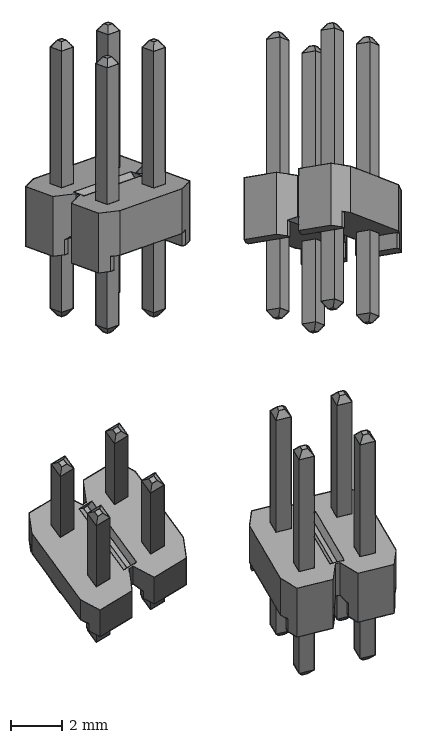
import cadquery as cq

pitch = 2.54

body_width = 4.83
body_depth = 5.0
body_height = 2.5
module_flat = 1.51
corner_depth = 0.8
waist_gap = 0.19
waist_depth = 0.85

foot_height = 0.63
foot_width = 1.94
foot_depth = 0.635

groove_width = pitch - foot_width
groove_floor = waist_gap
groove_depth = (groove_width - groove_floor) / 2
top_groove_length = 3.14

pin_size = 0.64
pin_above_body = 6.0
pin_below_body = 3.0
tip_height = 0.29
tip_flat = 0.24

pin_positions = (-pitch / 2, pitch / 2)


def make_block():
    """Octagonal block with a V at the front and rear between the columns."""
    half_width = body_width / 2
    half_depth = body_depth / 2
    flat_inner = (pitch - module_flat) / 2
    flat_outer = (pitch + module_flat) / 2
    quarter = [
        (half_width, half_depth - corner_depth),
        (flat_outer, half_depth),
        (flat_inner, half_depth),
        (waist_gap / 2, half_depth - waist_depth),
    ]
    rear = quarter + [(-x, y) for x, y in reversed(quarter)]
    front = [(x, -y) for x, y in reversed(rear)]
    return cq.Workplane("XY").polyline(rear + front).close().extrude(body_height)


def make_foot_zone():
    """Four boxes bounding the feet below the main block."""
    foot_y = (body_depth - foot_depth) / 2
    centres = [(x, y) for x in pin_positions for y in (-foot_y, foot_y)]
    return cq.Workplane("XY").pushPoints(centres).rect(foot_width, foot_depth).extrude(foot_height)


def make_groove(opening_z, direction, length):
    """Tapered prism along Y, narrowing from opening_z in the given Z direction."""
    floor_z = opening_z + direction * groove_depth
    profile = [
        (-groove_width / 2, opening_z),
        (groove_width / 2, opening_z),
        (groove_floor / 2, floor_z),
        (-groove_floor / 2, floor_z),
    ]
    return cq.Workplane("XZ").polyline(profile).close().extrude(length / 2, both=True)


def make_body():
    """Insulator with feet and the two break grooves."""
    block = make_block()
    underside = cq.Workplane("XY").rect(body_width, body_depth).extrude(foot_height)
    underside = underside.cut(make_foot_zone())
    body = block.cut(underside)
    body = body.cut(make_groove(foot_height, 1, body_depth))
    return body.cut(make_groove(body_height, -1, top_groove_length))


def make_tip(base_z, direction):
    """Truncated pyramid for a pin end, pointing up (1) or down (-1)."""
    return (
        cq.Workplane("XY", origin=(0, 0, base_z))
        .rect(pin_size, pin_size)
        .workplane(offset=direction * tip_height)
        .rect(tip_flat, tip_flat)
        .loft(ruled=True)
    )


def make_pin():
    """One pin on the Z axis, with a tip at both ends."""
    shank_bottom = -pin_below_body + tip_height
    shank_top = body_height + pin_above_body - tip_height
    shank = (
        cq.Workplane("XY", origin=(0, 0, shank_bottom))
        .rect(pin_size, pin_size)
        .extrude(shank_top - shank_bottom)
    )
    return shank.union(make_tip(shank_top, 1)).union(make_tip(shank_bottom, -1))


result = make_body()
pin = make_pin()
for pin_x in pin_positions:
    for pin_y in pin_positions:
        result = result.union(pin.translate((pin_x, pin_y, 0)))